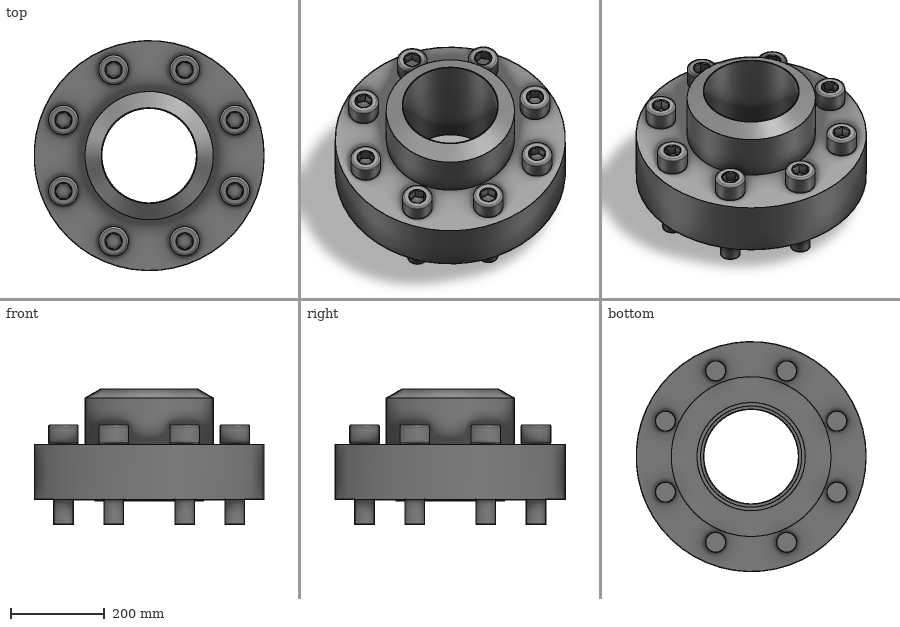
import cadquery as cq
import math

flange_diameter = 490.0
flange_thickness = 117.0
flange_bottom = 53.5
flange_top = flange_bottom + flange_thickness
bore_diameter = 201.0

total_height = 289
neck_diameter = 273.0
land_width = 1.5
bevel_angle = 30
bevel_run = (neck_diameter - bore_diameter) / 2 - land_width
bevel_height = bevel_run * math.tan(math.radians(bevel_angle))

face_diameter = 340.0
face_height = 1.5
face_bottom = flange_bottom - face_height

ring_outer_diameter = 230.5
ring_inner_diameter = 215.5
ring_depth = 6.0
ring_protrusion = 1.5

bolt_count = 8
bolt_step = 360 / bolt_count
bolt_circle_diameter = 395.0
bolt_hole_diameter = 43.0
shank_diameter = 42.0
head_diameter = 63.0
head_height = 41.5
head_fillet = 4.5
socket_sides = 6
socket_corner_diameter = 36.5
socket_flat_radius = socket_corner_diameter / 2 * math.cos(math.pi / socket_sides)
socket_depth = 24.0

lead_in_slope = 45
lead_in_depth = (socket_corner_diameter / 2 - socket_flat_radius) * math.tan(math.radians(lead_in_slope))


def make_seal_ring():
    return (
        cq.Workplane("XY")
        .workplane(offset=face_bottom - ring_protrusion)
        .circle(ring_outer_diameter / 2)
        .circle(ring_inner_diameter / 2)
        .extrude(ring_depth + ring_protrusion)
    )


def make_flange():
    bore_radius = bore_diameter / 2
    neck_radius = neck_diameter / 2
    flange_radius = flange_diameter / 2
    face_radius = face_diameter / 2
    body = (
        cq.Workplane("XZ")
        .moveTo(bore_radius, face_bottom)
        .lineTo(face_radius, face_bottom)
        .lineTo(face_radius, flange_bottom)
        .lineTo(flange_radius, flange_bottom)
        .lineTo(flange_radius, flange_top)
        .lineTo(neck_radius, flange_top)
        .lineTo(neck_radius, total_height - bevel_height)
        .lineTo(bore_radius + land_width, total_height)
        .lineTo(bore_radius, total_height)
        .close()
        .revolve(360, (0, 0, 0), (0, 1, 0))
    )
    bolt_holes = (
        cq.Workplane("XY")
        .workplane(offset=flange_bottom)
        .polarArray(bolt_circle_diameter / 2, bolt_step / 2, 360, bolt_count)
        .circle(bolt_hole_diameter / 2)
        .extrude(flange_thickness)
    )
    groove = (
        cq.Workplane("XY")
        .workplane(offset=face_bottom)
        .circle(ring_outer_diameter / 2)
        .circle(ring_inner_diameter / 2)
        .extrude(ring_depth)
    )
    return body.cut(bolt_holes).cut(groove)


def make_lead_in(top):
    """Short cone that opens up the mouth of the hexagon socket."""
    return cq.Workplane(
        cq.Solid.makeCone(
            socket_flat_radius,
            socket_corner_diameter / 2,
            lead_in_depth,
            cq.Vector(0, 0, top - lead_in_depth),
        )
    )


def make_bolt():
    """Bolt on the Z axis: the head sits on the flange and the shank ends at Z = 0."""
    head_top = flange_top + head_height
    shank = cq.Workplane("XY").circle(shank_diameter / 2).extrude(flange_top)
    head = (
        cq.Workplane("XY")
        .workplane(offset=flange_top)
        .circle(head_diameter / 2)
        .extrude(head_height)
        .edges("%CIRCLE")
        .fillet(head_fillet)
    )
    socket = (
        cq.Workplane("XY")
        .workplane(offset=head_top - socket_depth)
        .polygon(socket_sides, socket_corner_diameter)
        .extrude(socket_depth)
    )
    return shank.union(head).cut(socket).cut(make_lead_in(head_top))


def make_bolts():
    """Copies of one bolt turned about the flange axis, starting half a step off the X axis."""
    first_angle = math.radians(bolt_step / 2)
    radius = bolt_circle_diameter / 2
    first_bolt = make_bolt().translate((radius * math.cos(first_angle), radius * math.sin(first_angle), 0))
    return [first_bolt.rotate((0, 0, 0), (0, 0, 1), index * bolt_step) for index in range(bolt_count)]


flange = make_flange()
seal_ring = make_seal_ring()
bolts = make_bolts()

result = cq.Compound.makeCompound([flange.val(), seal_ring.val(), *[bolt.val() for bolt in bolts]])